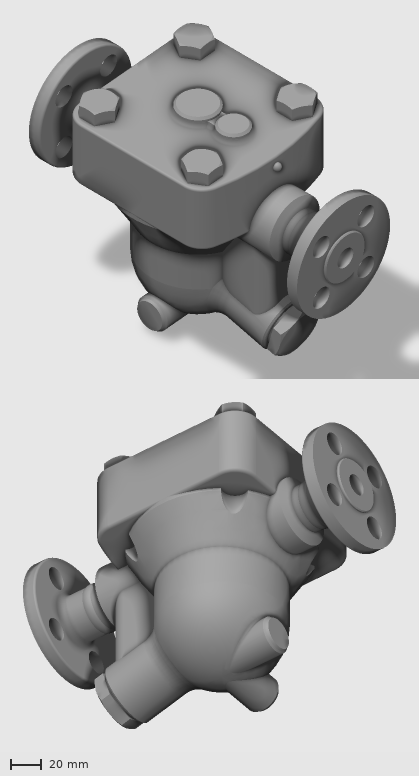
import cadquery as cq
import math


OVERALL_LENGTH = 239.0
RUN_MIDDLE_X = 10.0
PIPE_RADIUS = 33.0 / 2
PORT_RADIUS = 48.0 / 2
PORT_HALF_LENGTH = 74.8
PORT_TAPER_LENGTH = 4.3
WELD_INNER = 84.4
WELD_WIDTH = 6.5
WELD_CROWN = 0.7

FLANGE_RADIUS = 89.0 / 2
FLANGE_THICKNESS = 9.5
FLANGE_BACK_ROUND = 1.5
RAISED_FACE_RADIUS = 38.0 / 2
RAISED_FACE_HEIGHT = 1.7
RAISED_FACE_CHAMFER = 0.7
NECK_FILLET = 4.3
FLANGE_HOLE_DIAMETER = 16.0
FLANGE_HOLE_PITCH = 42.5
BORE_DIAMETER = 15.0
BORE_DEPTH = 28.7

BLOCK_WIDTH = 125.0
BLOCK_LEFT_X = -62.4
BLOCK_BOW_X = 68.8
CORNER_RADIUS = 17.2
BLOCK_BOTTOM_Z = 0.7
BLOCK_TOP_Z = 51.5
BLOCK_BOTTOM_ROUND = 2.5
BLOCK_TOP_ROUND = 1.7

BOLT_X = 45.2
BOLT_Y = BLOCK_WIDTH / 2 - CORNER_RADIUS
BOLT_ACROSS_FLATS = 24.0
BOLT_HEAD_HEIGHT = 10.5
BOLT_SPOT_RADIUS = 9.0

COVER_BOSS_HEIGHT = 6.5
COVER_BOSS_CHAMFER = 1.7
MAIN_BOSS_RADIUS = 32.0 / 2
SMALL_BOSS_RADIUS = 24.0 / 2
SMALL_BOSS_X = 31.3
BOSS_FLARE = 3.0
BRIDGE_TOP_WIDTH = 13.5

PIN_RADIUS = 3.0
PIN_TIP_X = 72.7
PIN_Z = 43.0

BOWL_RADIUS = 44.0
BOWL_CENTER_Z = -62.4
CONE_BOTTOM_Z = -33.2
CONE_HALF_ANGLE = 30.0
CONE_TOP_RADIUS = 62.4

PLUG_RADIUS = 26.0 / 2
PLUG_FACE_RADIUS = 22.0 / 2
PLUG_SHOULDER_RADIUS = 12.0
PLUG_FACE_TAPER = 1.7
PLUG_SHOULDER_TAPER = 1.2
SIDE_PLUG_FILLET = 1.7
PLUG_REACH = 46.1
PLUG_Z = -92.7

BRANCH_ANGLE = 15.0
BRANCH_RADIUS = 44.0 / 2
BRANCH_LENGTH = 81.0
BRANCH_BLEND = 18.0
BRANCH_BLEND_SINK = 0.12
BRANCH_CHAMFER = 1.2
CAP_COLLAR_RADIUS = 35.8 / 2
CAP_START = 83.0
CAP_END = 91.5
CAP_ACROSS_CORNERS = 42.0
RIB_WIDTH = 39.2
RIB_END_X = 77.7
RIB_END_ROUND = 12.2


def chamfered_hex(across_corners, height, top_radius):
    """Hexagon head on Z = 0, corners on X, with its top corners turned off at 30 degrees."""
    corner_radius = across_corners / 2
    bevel = (corner_radius - top_radius) * math.tan(math.radians(30))
    turned = (
        cq.Workplane("XZ")
        .polyline([
            (0, 0),
            (corner_radius, 0),
            (corner_radius, height - bevel),
            (top_radius, height),
            (0, height),
        ])
        .close()
        .revolve(360, (0, 0, 0), (0, 1, 0))
    )
    return cq.Workplane("XY").polygon(6, across_corners).extrude(height).intersect(turned)


def pipe_run():
    """Both ports with pipe, weld bead and flange, as one turned profile per half."""
    face = OVERALL_LENGTH / 2
    flange_front = face - RAISED_FACE_HEIGHT
    flange_back = flange_front - FLANGE_THICKNESS
    neck_bottom = (flange_back - NECK_FILLET, PIPE_RADIUS)
    neck_top_radius = PIPE_RADIUS + NECK_FILLET
    neck_turn = NECK_FILLET * math.sqrt(0.5)
    weld_outer = WELD_INNER + WELD_WIDTH
    half = (
        cq.Workplane("XY")
        .moveTo(0, 0)
        .lineTo(0, PORT_RADIUS)
        .lineTo(PORT_HALF_LENGTH, PORT_RADIUS)
        .lineTo(PORT_HALF_LENGTH + PORT_TAPER_LENGTH, PIPE_RADIUS)
        .lineTo(WELD_INNER, PIPE_RADIUS)
        .threePointArc(
            (WELD_INNER + WELD_WIDTH / 2, PIPE_RADIUS + WELD_CROWN), (weld_outer, PIPE_RADIUS)
        )
        .lineTo(*neck_bottom)
        .threePointArc(
            (neck_bottom[0] + neck_turn, neck_top_radius - neck_turn), (flange_back, neck_top_radius)
        )
        .lineTo(flange_back, FLANGE_RADIUS - FLANGE_BACK_ROUND)
        .radiusArc((flange_back + FLANGE_BACK_ROUND, FLANGE_RADIUS), FLANGE_BACK_ROUND)
        .lineTo(flange_front, FLANGE_RADIUS)
        .lineTo(flange_front, RAISED_FACE_RADIUS)
        .lineTo(face - RAISED_FACE_CHAMFER, RAISED_FACE_RADIUS)
        .lineTo(face, RAISED_FACE_RADIUS - RAISED_FACE_CHAMFER)
        .lineTo(face, 0)
        .close()
        .revolve(360, (0, 0, 0), (1, 0, 0))
    )
    bolt_holes = (
        cq.Workplane("YZ", origin=(flange_back, 0, 0))
        .rect(FLANGE_HOLE_PITCH, FLANGE_HOLE_PITCH, forConstruction=True)
        .vertices()
        .circle(FLANGE_HOLE_DIAMETER / 2)
        .extrude(FLANGE_THICKNESS)
    )
    bore = cq.Workplane("YZ", origin=(face, 0, 0)).circle(BORE_DIAMETER / 2).extrude(-BORE_DEPTH)
    half = half.cut(bolt_holes).cut(bore)
    return half.union(half.mirror("YZ")).translate((RUN_MIDDLE_X, 0, 0))


def block():
    """Body flange and cover: three straight sides and one bowed side, tangent to its corners."""
    half_width = BLOCK_WIDTH / 2
    bow_inset = BLOCK_BOW_X - BOLT_X
    bow_radius = (bow_inset**2 + BOLT_Y**2 - CORNER_RADIUS**2) / (2 * (bow_inset - CORNER_RADIUS))
    bow_center_x = BLOCK_BOW_X - bow_radius
    tangent_angle = math.atan2(BOLT_Y, BOLT_X - bow_center_x)
    bow_end_x = bow_center_x + bow_radius * math.cos(tangent_angle)
    bow_end_y = bow_radius * math.sin(tangent_angle)
    left_arc_x = BLOCK_LEFT_X + CORNER_RADIUS
    return (
        cq.Workplane("XY", origin=(0, 0, BLOCK_BOTTOM_Z))
        .moveTo(left_arc_x, -half_width)
        .lineTo(BOLT_X, -half_width)
        .radiusArc((bow_end_x, -bow_end_y), -CORNER_RADIUS)
        .threePointArc((BLOCK_BOW_X, 0), (bow_end_x, bow_end_y))
        .radiusArc((BOLT_X, half_width), -CORNER_RADIUS)
        .lineTo(left_arc_x, half_width)
        .radiusArc((BLOCK_LEFT_X, BOLT_Y), -CORNER_RADIUS)
        .lineTo(BLOCK_LEFT_X, -BOLT_Y)
        .radiusArc((left_arc_x, -half_width), -CORNER_RADIUS)
        .close()
        .extrude(BLOCK_TOP_Z - BLOCK_BOTTOM_Z)
        .faces(">Z")
        .edges()
        .fillet(BLOCK_TOP_ROUND)
        .faces("<Z")
        .edges()
        .fillet(BLOCK_BOTTOM_ROUND)
    )


def cover_bolts():
    """Four hexagon heads; diagonal neighbours share the same orientation."""
    across_corners = BOLT_ACROSS_FLATS / math.cos(math.radians(30))
    head = chamfered_hex(across_corners, BOLT_HEAD_HEIGHT, BOLT_ACROSS_FLATS / 2)
    turned_head = head.rotate((0, 0, 0), (0, 0, 1), 90)
    bolts = cq.Workplane("XY")
    for side_x in (-1, 1):
        for side_y in (-1, 1):
            shape = head if side_x == side_y else turned_head
            bolts = bolts.add(shape.translate((side_x * BOLT_X, side_y * BOLT_Y, BLOCK_TOP_Z)))
    return bolts.combine()


def cover_boss(radius):
    """Round boss with a concave flare at its foot and a chamfered top."""
    turn = BOSS_FLARE * (1 - math.sqrt(0.5))
    return (
        cq.Workplane("XZ")
        .lineTo(radius + BOSS_FLARE, 0)
        .threePointArc((radius + turn, turn), (radius, BOSS_FLARE))
        .lineTo(radius, COVER_BOSS_HEIGHT - COVER_BOSS_CHAMFER)
        .lineTo(radius - COVER_BOSS_CHAMFER, COVER_BOSS_HEIGHT)
        .lineTo(0, COVER_BOSS_HEIGHT)
        .close()
        .revolve(360, (0, 0, 0), (0, 1, 0))
    )


def cover_bosses():
    """Large and small boss joined by a low bridge."""
    top_y = BRIDGE_TOP_WIDTH / 2
    foot_y = top_y + BOSS_FLARE
    bridge = (
        cq.Workplane("YZ")
        .moveTo(-foot_y, 0)
        .lineTo(foot_y, 0)
        .radiusArc((top_y, BOSS_FLARE), BOSS_FLARE)
        .lineTo(-top_y, BOSS_FLARE)
        .radiusArc((-foot_y, 0), BOSS_FLARE)
        .close()
        .extrude(SMALL_BOSS_X)
    )
    bosses = cover_boss(MAIN_BOSS_RADIUS)
    bosses = bosses.union(cover_boss(SMALL_BOSS_RADIUS).translate((SMALL_BOSS_X, 0, 0)))
    return bosses.union(bridge).translate((0, 0, BLOCK_TOP_Z))


def pin():
    """Short round-nosed pin on the bowed side of the cover."""
    length = PIN_TIP_X - BOLT_X
    return (
        cq.Workplane("YZ", origin=(BOLT_X, 0, PIN_Z))
        .circle(PIN_RADIUS)
        .extrude(length - PIN_RADIUS)
        .union(cq.Workplane("XY").sphere(PIN_RADIUS).translate((PIN_TIP_X - PIN_RADIUS, 0, PIN_Z)))
    )


def bowl():
    """Cone below the body flange, straight wall and hemispherical bottom."""
    cone_rise = (CONE_TOP_RADIUS - BOWL_RADIUS) / math.tan(math.radians(CONE_HALF_ANGLE))
    top_z = BLOCK_BOTTOM_Z + 2 * BLOCK_BOTTOM_ROUND
    arc_turn = BOWL_RADIUS * math.sqrt(0.5)
    return (
        cq.Workplane("XZ")
        .moveTo(0, BOWL_CENTER_Z - BOWL_RADIUS)
        .threePointArc((arc_turn, BOWL_CENTER_Z - arc_turn), (BOWL_RADIUS, BOWL_CENTER_Z))
        .lineTo(BOWL_RADIUS, CONE_BOTTOM_Z)
        .lineTo(CONE_TOP_RADIUS, CONE_BOTTOM_Z + cone_rise)
        .lineTo(CONE_TOP_RADIUS, top_z)
        .lineTo(0, top_z)
        .close()
        .revolve(360, (0, 0, 0), (0, 1, 0))
    )


def bolt_spots():
    """Round clearances cut into the cone below each bolt, up to the body flange."""
    return (
        cq.Workplane("XY", origin=(0, 0, BLOCK_BOTTOM_Z))
        .rect(2 * BOLT_X, 2 * BOLT_Y, forConstruction=True)
        .vertices()
        .circle(BOLT_SPOT_RADIUS)
        .extrude(CONE_BOTTOM_Z - BLOCK_BOTTOM_Z)
    )


def plug():
    """Round plug along -X from the bowl axis, tapered in two steps at its end."""
    shoulder_x = -PLUG_REACH + PLUG_FACE_TAPER
    return (
        cq.Workplane("XZ", origin=(0, 0, PLUG_Z))
        .lineTo(0, PLUG_RADIUS)
        .lineTo(shoulder_x + PLUG_SHOULDER_TAPER, PLUG_RADIUS)
        .lineTo(shoulder_x, PLUG_SHOULDER_RADIUS)
        .lineTo(-PLUG_REACH, PLUG_FACE_RADIUS)
        .lineTo(-PLUG_REACH, 0)
        .close()
        .revolve(360, (0, 0, 0), (1, 0, 0))
    )


def branch():
    """Strainer branch from the bowl centre, blended into the bowl, with a hexagon cap."""
    sunk_radius = BOWL_RADIUS - BRANCH_BLEND_SINK
    blend_center_y = BRANCH_RADIUS + BRANCH_BLEND
    center_distance = sunk_radius + BRANCH_BLEND
    blend_center_x = math.sqrt(center_distance**2 - blend_center_y**2)
    sphere_share = sunk_radius / center_distance
    sphere_touch = (blend_center_x * sphere_share, blend_center_y * sphere_share)
    wall = (
        cq.Workplane("XY")
        .lineTo(*sphere_touch)
        .radiusArc((blend_center_x, BRANCH_RADIUS), -BRANCH_BLEND)
        .lineTo(BRANCH_LENGTH - BRANCH_CHAMFER, BRANCH_RADIUS)
        .lineTo(BRANCH_LENGTH, BRANCH_RADIUS - BRANCH_CHAMFER)
        .lineTo(BRANCH_LENGTH, CAP_COLLAR_RADIUS)
        .lineTo(CAP_START, CAP_COLLAR_RADIUS)
        .lineTo(CAP_START, 0)
        .close()
        .revolve(360, (0, 0, 0), (1, 0, 0))
    )
    flat_radius = CAP_ACROSS_CORNERS / 2 * math.cos(math.radians(30))
    cap = (
        chamfered_hex(CAP_ACROSS_CORNERS, CAP_END - CAP_START, flat_radius)
        .rotate((0, 0, 0), (0, 1, 0), 90)
        .translate((CAP_START, 0, 0))
    )
    return wall.union(cap).rotate((0, 0, 0), (0, 1, 0), BRANCH_ANGLE).translate((0, 0, BOWL_CENTER_Z))


def rib():
    """Upright rib between the outlet port and the branch, rounded at its outer end."""
    bottom_z = BOWL_CENTER_Z - RIB_END_X * math.tan(math.radians(BRANCH_ANGLE))
    return (
        cq.Workplane("XY", origin=(0, 0, bottom_z))
        .center(RIB_END_X / 2, 0)
        .rect(RIB_END_X, RIB_WIDTH)
        .extrude(-bottom_z)
        .edges("|Z and >X")
        .fillet(RIB_END_ROUND)
    )


plugged_bowl = bowl().union(plug()).edges("%BSPLINE").fillet(SIDE_PLUG_FILLET)
front_plug = plug().rotate((0, 0, 0), (0, 0, 1), 90)
lower_body = plugged_bowl.union(front_plug).cut(bolt_spots()).union(branch())

result = (
    block()
    .union(lower_body)
    .union(pipe_run())
    .union(rib())
    .union(cover_bolts())
    .union(cover_bosses())
    .union(pin())
)